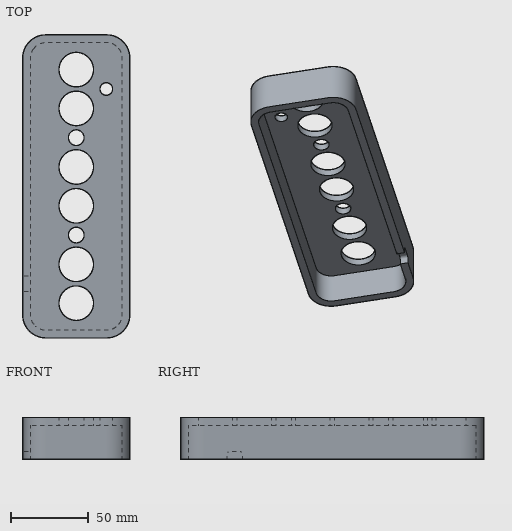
import cadquery as cq

length = 195.0
width = 69.0
height = 27.0
corner_radius = 15.0

wall = 5.0

large_diameter = 22.0
large_spacing = 25.0
pair_spacing = 62.5
medium_diameter = 10.0

small_diameter = 8.0
small_x = 19.3
end_feature_y = 62.5

notch_width = 10.0
notch_height = 5.0
notch_corner_radius = 2.0


def rounded_block(size_x, size_y, size_z, radius):
    """Block standing on Z = 0 with rounded vertical edges."""
    block = cq.Workplane("XY").box(size_x, size_y, size_z, centered=(True, True, False))
    return block.edges("|Z").fillet(radius)


def plate_holes(diameter, centres):
    """Vertical cutters that reach through the top plate."""
    return cq.Workplane("XY").pushPoints(centres).circle(diameter / 2).extrude(height)


def cable_notch():
    """Cutter through the -X wall, rounded along its two upper edges."""
    cutter = cq.Workplane("XY").box(2 * wall, notch_width, notch_height, centered=(True, True, False))
    cutter = cutter.edges("|X and >Z").fillet(notch_corner_radius)
    return cutter.translate((-width / 2, -end_feature_y, 0))


shell = rounded_block(width, length, height, corner_radius)
cavity = rounded_block(width - 2 * wall, length - 2 * wall, height - wall, corner_radius - wall)

pair_centres = [step * pair_spacing for step in (-1, 0, 1)]
large_centres = [(0, y + side * large_spacing / 2) for y in pair_centres for side in (-1, 1)]
medium_centres = [(0, side * pair_spacing / 2) for side in (-1, 1)]

result = (
    shell.cut(cavity)
    .cut(plate_holes(large_diameter, large_centres))
    .cut(plate_holes(medium_diameter, medium_centres))
    .cut(plate_holes(small_diameter, [(small_x, end_feature_y)]))
    .cut(cable_notch())
)